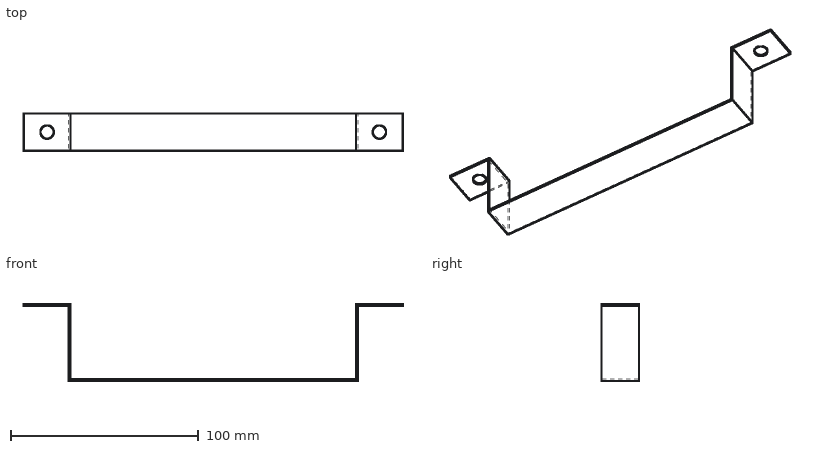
import cadquery as cq

overall_length = 202.0
strap_width = 20.0
overall_height = 41.0
thickness = 1.0
foot_length = 25.0
hole_diameter = 7.0

half_length = overall_length / 2
leg_inner_x = half_length - foot_length
leg_outer_x = leg_inner_x + thickness
hole_x = half_length - foot_length / 2


def strap():
    """Hat-shaped strip: two raised feet, two legs and a low crossbar."""
    right_side = [
        (leg_outer_x, 0),
        (leg_outer_x, overall_height - thickness),
        (half_length, overall_height - thickness),
        (half_length, overall_height),
        (leg_inner_x, overall_height),
        (leg_inner_x, thickness),
    ]
    left_side = [(-x, z) for x, z in reversed(right_side)]
    profile = cq.Workplane("XZ").polyline(right_side + left_side).close()
    return profile.extrude(strap_width / 2, both=True)


def mounting_holes():
    """One vertical cutter through each foot."""
    return (
        cq.Workplane("XY")
        .workplane(offset=overall_height - thickness)
        .pushPoints([(-hole_x, 0), (hole_x, 0)])
        .circle(hole_diameter / 2)
        .extrude(thickness)
    )


result = strap().cut(mounting_holes())